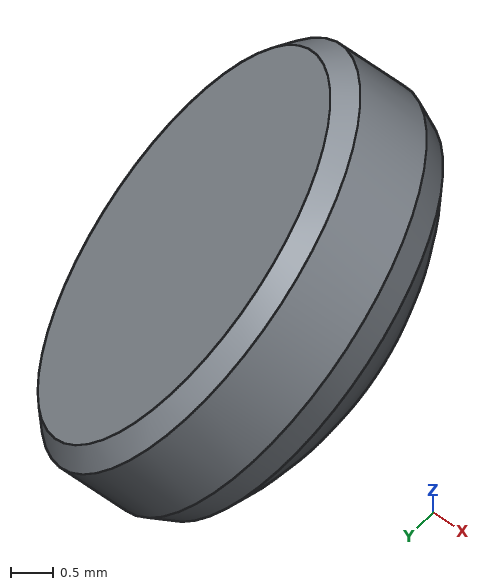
import cadquery as cq

diameter = 6.0
thickness = 2.6

back_chamfer = 0.25
band_end = 1.26
bevel_length = 0.395
bevel_drop = 0.18

radius = diameter / 2
back_radius = radius - back_chamfer
dome_start = band_end + bevel_length
dome_rim_radius = radius - bevel_drop

dome_height = thickness - dome_start
sphere_radius = (dome_rim_radius**2 + dome_height**2) / (2 * dome_height)
sphere_center = thickness - sphere_radius
mid_radius = dome_rim_radius / 2
mid_x = sphere_center + (sphere_radius**2 - mid_radius**2) ** 0.5

profile = (
    cq.Workplane("XY")
    .lineTo(0, back_radius)
    .lineTo(back_chamfer, radius)
    .lineTo(band_end, radius)
    .lineTo(dome_start, dome_rim_radius)
    .threePointArc((mid_x, mid_radius), (thickness, 0))
    .close()
)

result = profile.revolve(360, (0, 0, 0), (1, 0, 0))